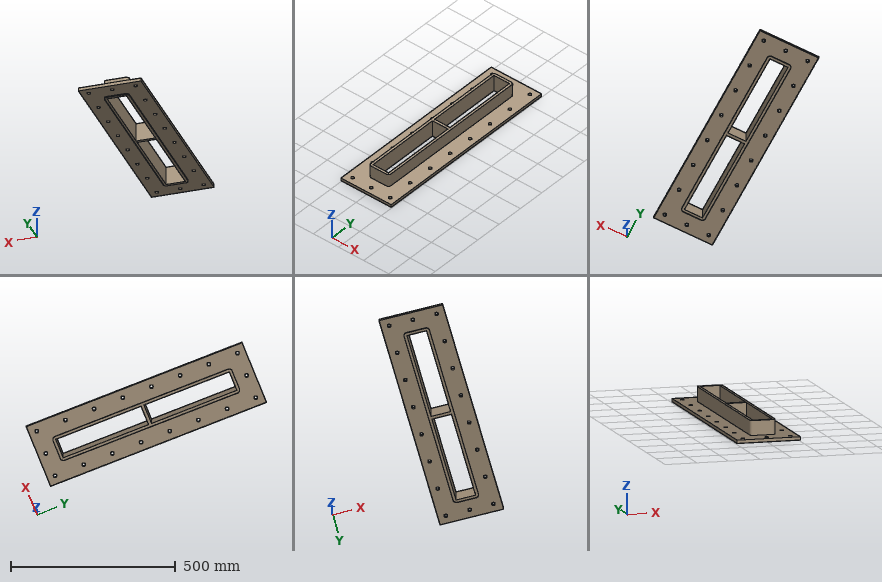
import cadquery as cq

plate_width = 200.5
plate_length = 706.0
plate_thickness = 10.5

duct_width = 80.0
duct_length = 586.0
duct_height = 60.0
duct_wall = 9.0
duct_corner_radius = 10.0
duct_below_plate = 3.5
divider_thickness = 10.0

hole_diameter = 10.5
hole_span_x = 150.0
hole_span_y = 656.5
holes_per_side = 8


def centred_box(width, length, height):
    """Box centred on the Z axis with its base at Z = 0."""
    return cq.Workplane("XY").box(width, length, height, centered=(True, True, False))


def bolt_positions():
    """Two long rows of holes, plus one hole in the middle of each short end."""
    pitch = hole_span_y / (holes_per_side - 1)
    points = [(0, -hole_span_y / 2), (0, hole_span_y / 2)]
    for x in (-hole_span_x / 2, hole_span_x / 2):
        for row in range(holes_per_side):
            points.append((x, -hole_span_y / 2 + row * pitch))
    return points


def flange_plate():
    plate = centred_box(plate_width, plate_length, plate_thickness)
    plate = plate.faces(">Z").workplane().pushPoints(bolt_positions()).hole(hole_diameter)
    return plate.translate((0, 0, duct_below_plate))


def duct_outside():
    duct = centred_box(duct_width, duct_length, duct_height)
    return duct.edges("|Z").fillet(duct_corner_radius)


def duct_opening():
    return centred_box(duct_width - 2 * duct_wall, duct_length - 2 * duct_wall, duct_height)


def divider():
    """Cross wall joining the long sides of the duct at mid length."""
    return centred_box(duct_width - 2 * duct_wall, divider_thickness, duct_height)


result = flange_plate().union(duct_outside()).cut(duct_opening()).union(divider())